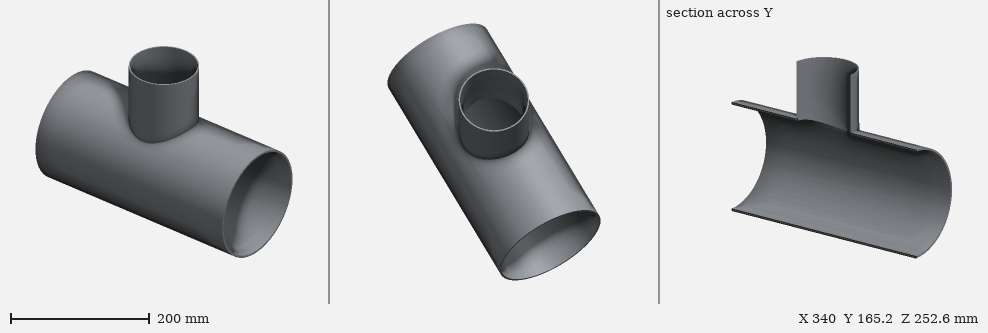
import cadquery as cq


run_length = 340.0
run_outer_diameter = 165.2
run_wall = 3.0
run_inner_diameter = run_outer_diameter - 2 * run_wall

branch_height = 170.0
branch_outer_diameter = 101.6
branch_wall = 2.0
branch_inner_diameter = branch_outer_diameter - 2 * branch_wall


def run_cylinder(diameter):
    """Cylinder along X, centred on the origin, as long as the run pipe."""
    return cq.Workplane("YZ").circle(diameter / 2).extrude(run_length / 2, both=True)


def branch_cylinder(diameter):
    """Cylinder along Z from the run axis up to the open end of the branch."""
    return cq.Workplane("XY").circle(diameter / 2).extrude(branch_height)


outer_body = run_cylinder(run_outer_diameter).union(branch_cylinder(branch_outer_diameter))
run_bore = run_cylinder(run_inner_diameter)
branch_bore = branch_cylinder(branch_inner_diameter)

result = outer_body.cut(run_bore).cut(branch_bore)